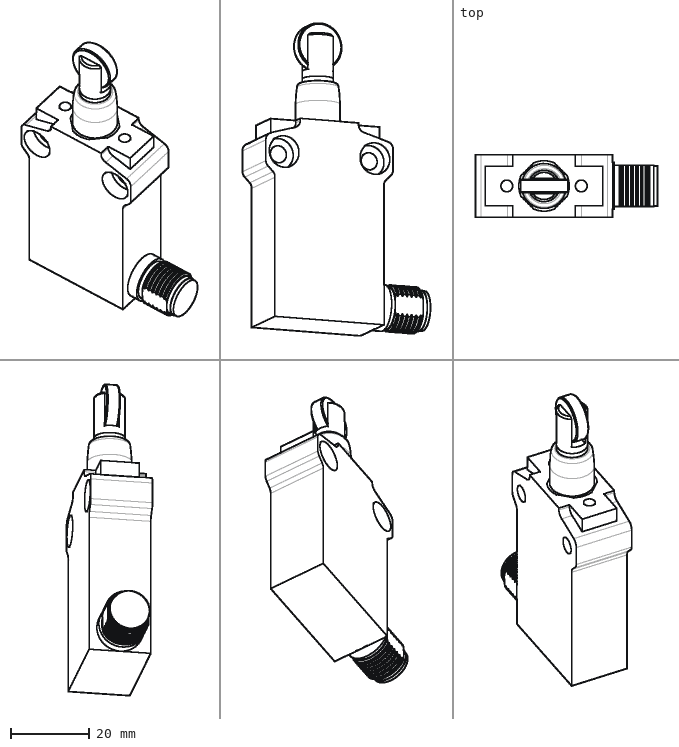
import cadquery as cq
import math

depth = 16.0
body_half_width = 15.0
ear_half_width = 17.5
body_height = 52.0
ear_top_z = 47.25
ear_bottom_z = 39.6
ear_slope = math.radians(16)
ear_fillet = 2.0
shoulder_half_width = 8.0
tongue_depth = 10.0

mount_x = 12.5
mount_z = 43.0
mount_bore = 4.4
mount_counterbore = 8.2
mount_counterbore_depth = 3.9

top_hole_x = 9.5
top_hole_diameter = 3.0
top_hole_depth = 4.7

flange_diameter = 12.9
flange_flats = 12.0
flange_thickness = 2.35
neck_diameter = 11.5
neck_straight_top_z = 57.6
head_taper_top_z = 62.1
head_taper_top_radius = 5.3
head_top_fillet = 0.9
head_bulge = 0.1

plunger_diameter = 8.0
stem_bottom_z = 59.65
stem_top_z = 64.2
fork_top_z = 75.6
fork_chamfer = 0.55
fork_slot_width = 3.85
fork_slot_floor_z = 66.2

overall_height = 78.5
roller_diameter = 12.0
roller_width = 3.5
roller_chamfer = 0.3
roller_z = overall_height - roller_diameter / 2

connector_end_x = 29.0
collar_diameter = 12.0
connector_z = 6.05
collar_length = 2.9
barrel_diameter = 10.6
tip_diameter = 10.3
tip_length = 0.95

band_start_x = 19.15
band_length = 7.8
band_diameter = 12.0
band_chamfer = 0.4
groove_count = 6
groove_pitch = 1.25
groove_width = 0.6
groove_depth = 0.2


def cylinder(diameter, z_bottom, z_top):
    """Upright cylinder on the Z axis."""
    return cq.Workplane("XY").workplane(offset=z_bottom).circle(diameter / 2).extrude(z_top - z_bottom)


def x_cylinder(diameter, x_start, x_end):
    """Cylinder on the connector axis."""
    start = cq.Workplane("YZ").workplane(offset=x_start).center(0, connector_z)
    return start.circle(diameter / 2).extrude(x_end - x_start)


def eared_outline():
    """Outline of the housing with its ears and the notched top, in XZ."""
    overhang = ear_half_width - body_half_width
    notch_z = ear_top_z + (ear_half_width - shoulder_half_width) * math.tan(ear_slope)
    right_side = [
        (body_half_width, 0),
        (body_half_width, ear_bottom_z - overhang),
        (ear_half_width, ear_bottom_z),
        (ear_half_width, ear_top_z),
        (shoulder_half_width, notch_z),
        (shoulder_half_width, body_height),
    ]
    left_side = [(-x, z) for x, z in reversed(right_side)]
    return right_side + left_side


def ear_corner(edge):
    """True for the edges to round: all but those in the bottom and top planes."""
    plane_gap = 0.1
    return plane_gap < edge.Center().z < body_height - plane_gap


def make_housing():
    blank = cq.Workplane("XZ", origin=(0, depth / 2, 0)).polyline(eared_outline()).close().extrude(depth)
    rounded_edges = [edge for edge in blank.edges("|Y").vals() if ear_corner(edge)]
    housing = blank.newObject(rounded_edges).fillet(ear_fillet)

    tongue = cq.Workplane("XY").workplane(offset=mount_z)
    tongue = tongue.rect(2 * body_half_width, tongue_depth).extrude(body_height - mount_z)
    housing = housing.union(tongue)

    front_face = cq.Workplane("XZ", origin=(0, -depth / 2, mount_z)).pushPoints([(-mount_x, 0), (mount_x, 0)])
    housing = housing.cut(front_face.circle(mount_bore / 2).extrude(-depth))
    housing = housing.cut(front_face.circle(mount_counterbore / 2).extrude(-mount_counterbore_depth))

    top_face = cq.Workplane("XY", origin=(0, 0, body_height)).pushPoints([(-top_hole_x, 0), (top_hole_x, 0)])
    housing = housing.cut(top_face.circle(top_hole_diameter / 2).extrude(-top_hole_depth))
    return housing.cut(make_flange())


def make_flange():
    """Round flange with four flats facing the diagonals."""
    bottom_z = body_height - flange_thickness
    flats = cq.Workplane("XY").workplane(offset=bottom_z).rect(flange_flats, flange_flats)
    flats = flats.extrude(flange_thickness).rotate((0, 0, 0), (0, 0, 1), 45)
    return cylinder(flange_diameter, bottom_z, body_height).intersect(flats)


def make_head():
    neck_radius = neck_diameter / 2
    head_top_z = head_taper_top_z + head_top_fillet
    head_top_radius = head_taper_top_radius - head_top_fillet
    taper_middle = (
        (neck_radius + head_taper_top_radius) / 2 + head_bulge,
        (neck_straight_top_z + head_taper_top_z) / 2,
    )
    neck = (
        cq.Workplane("XZ")
        .moveTo(0, body_height)
        .lineTo(neck_radius, body_height)
        .lineTo(neck_radius, neck_straight_top_z)
        .threePointArc(taper_middle, (head_taper_top_radius, head_taper_top_z))
        .radiusArc((head_top_radius, head_top_z), -head_top_fillet)
        .lineTo(0, head_top_z)
        .close()
        .revolve(360, (0, 0), (0, 1))
    )
    return make_flange().union(neck).cut(make_stem())


def make_stem():
    return cylinder(plunger_diameter, stem_bottom_z, stem_top_z)


def make_fork():
    rod = cylinder(plunger_diameter, stem_top_z, fork_top_z).faces(">Z").chamfer(fork_chamfer)
    slot = cq.Workplane("XY").workplane(offset=fork_slot_floor_z)
    slot = slot.rect(2 * plunger_diameter, fork_slot_width).extrude(fork_top_z - fork_slot_floor_z)
    return rod.cut(slot)


def make_roller():
    side_face = cq.Workplane("XZ", origin=(0, roller_width / 2, roller_z))
    return side_face.circle(roller_diameter / 2).extrude(roller_width).edges().chamfer(roller_chamfer)


def make_groove(x):
    """Ring-shaped V cutter, as wide as the groove where it meets the band surface."""
    radius = band_diameter / 2
    half_width = groove_width / 2
    profile = [
        (x - half_width, connector_z + radius),
        (x, connector_z + radius - groove_depth),
        (x + half_width, connector_z + radius),
    ]
    section = cq.Workplane("XZ").polyline(profile).close()
    return section.revolve(360, (0, connector_z), (1, connector_z))


def make_band():
    band = x_cylinder(band_diameter, band_start_x, band_start_x + band_length).edges().chamfer(band_chamfer)

    band_middle_x = band_start_x + band_length / 2
    first_groove_x = band_middle_x - (groove_count - 1) * groove_pitch / 2
    for index in range(groove_count):
        band = band.cut(make_groove(first_groove_x + index * groove_pitch))

    between_flats = cq.Workplane("XY", origin=(band_middle_x, 0, connector_z))
    return band.intersect(between_flats.box(band_length, barrel_diameter, band_diameter))


def make_connector():
    collar_end_x = body_half_width + collar_length
    tip_start_x = connector_end_x - tip_length
    collar = x_cylinder(collar_diameter, body_half_width, collar_end_x)
    barrel = x_cylinder(barrel_diameter, collar_end_x, tip_start_x)
    tip = x_cylinder(tip_diameter, tip_start_x, connector_end_x)
    return collar.union(barrel).union(tip).union(make_band())


housing = make_housing()
head = make_head()
stem = make_stem()
fork = make_fork()
roller = make_roller()
connector = make_connector()

result = cq.Compound.makeCompound([
    housing.val(),
    head.val(),
    stem.val(),
    fork.val(),
    roller.val(),
    connector.val(),
])